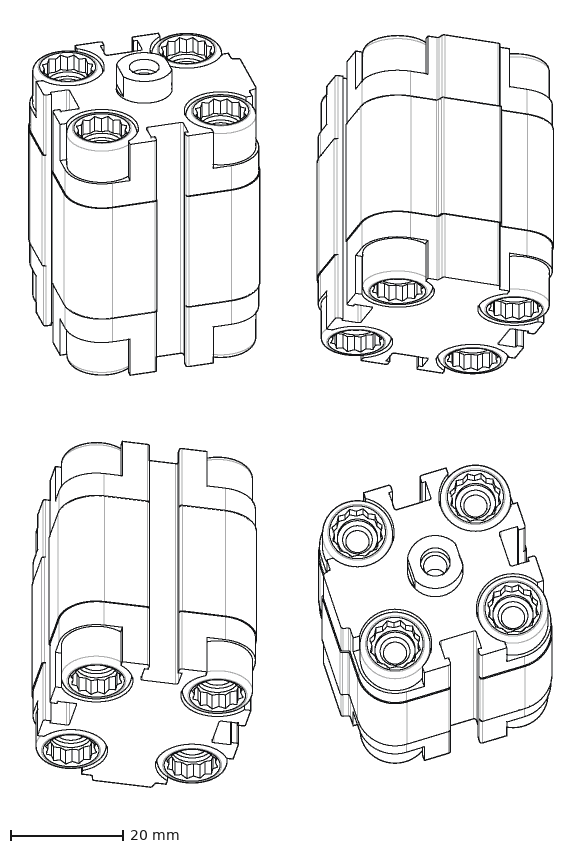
import cadquery as cq
import math

ROD_TOP = 52.5
HOUSING_HEIGHT = 48.0
END_HEIGHT = 12.5
TUBE_HEIGHT = HOUSING_HEIGHT - 2 * END_HEIGHT

HALF_WIDTH = 18.0
CORNER_RADIUS = 7.0
END_INSET = 0.2

RAIL_HEIGHT = 1.45
RAIL_HALF_TOP = 5.55
RAIL_HALF_FOOT = 6.0
RAIL_TOP_FILLET = 0.4
RAIL_FOOT_FILLET = 0.3

SLOT_ANGLES = (-90, 0, 90)
SLOT_MOUTH_HALF = 2.75
SLOT_HALF = 3.4
SLOT_LIP_FACE = 16.45
SLOT_FLOOR = 12.95
SLOT_MOUTH_FILLET = 0.4
SLOT_FLOOR_FILLET = 0.4

SCREW_OFFSET = HALF_WIDTH - CORNER_RADIUS
QUADRANTS = [(-1, -1), (-1, 1), (1, -1), (1, 1)]
HEAD_DIAMETER = 12.5
HEAD_HEIGHT = 7.5
HEAD_FILLET = 1.0
POCKET_DIAMETER = 13.0
POCKET_CORNER = 7.7

SOCKET_FLATS = 8.0
SOCKET_TURNS = (0, 30)
SOCKET_DEPTH = 3.2
SOCKET_MOUTH_DIAMETER = 10.0
RECESS_DIAMETER = 7.2
RECESS_DEPTH = 0.9
MOUTH_CONE_DEPTH = 0.85

BORE_DIAMETER = 4.15
BORE_ENTRY_DIAMETER = 5.3
DRILL_POINT_ANGLE = 118.0
COUNTERSINK_ANGLE = 60.0

ROD_DIAMETER = 10.0
ROD_BOTTOM = HOUSING_HEIGHT - END_HEIGHT
ROD_FLATS = 9.0
ROD_COLLAR_HEIGHT = 0.4
ROD_FLATS_BOTTOM = HOUSING_HEIGHT + ROD_COLLAR_HEIGHT
ROD_COUNTERBORE_DEPTH = 2.1
ROD_BORE_DEPTH = 10.0


def fillet_upright_edge(body, x, y, height, radius):
    """Round the vertical edge of a prism that stands at (x, y)."""
    return body.edges(cq.NearestToPointSelector((x, y, height / 2))).fillet(radius)


def turned(x, y, angle):
    """Point (x, y) turned about the origin by angle degrees."""
    turn = math.radians(angle)
    return (
        x * math.cos(turn) - y * math.sin(turn),
        x * math.sin(turn) + y * math.cos(turn),
    )


def rail(inset, height):
    """Tapered rail prism that stands on the +Y face and reaches in to the axis."""
    face = HALF_WIDTH - inset
    foot = RAIL_HALF_FOOT - inset
    top = RAIL_HALF_TOP - inset
    outline = [
        (-foot, 0),
        (-foot, face),
        (-top, face + RAIL_HEIGHT),
        (top, face + RAIL_HEIGHT),
        (foot, face),
        (foot, 0),
    ]
    prism = cq.Workplane("XY").polyline(outline).close().extrude(height)
    return prism.faces(">Y").edges("|Z").fillet(RAIL_TOP_FILLET)


def t_slot(face, height):
    """Cutter for a T-slot that opens through the -Y face at distance face from the axis."""
    floor = (
        cq.Workplane("XY")
        .rect(2 * SLOT_HALF, SLOT_LIP_FACE - SLOT_FLOOR)
        .extrude(height)
        .translate((0, -(SLOT_LIP_FACE + SLOT_FLOOR) / 2, 0))
        .faces(">Y")
        .edges("|Z")
        .fillet(SLOT_FLOOR_FILLET)
    )
    mouth = (
        cq.Workplane("XY")
        .rect(2 * SLOT_MOUTH_HALF, face - SLOT_FLOOR)
        .extrude(height)
        .translate((0, -(face + SLOT_FLOOR) / 2, 0))
    )
    return floor.union(mouth)


def profile(inset, height):
    """Prism of the rounded square with its rail and T-slots, all outer faces set in by inset."""
    face = HALF_WIDTH - inset
    square = cq.Workplane("XY").rect(2 * face, 2 * face).extrude(height)
    body = square.edges("|Z").fillet(CORNER_RADIUS - inset).union(rail(inset, height))
    for side in (-1, 1):
        foot = side * (RAIL_HALF_FOOT - inset)
        body = fillet_upright_edge(body, foot, face, height, RAIL_FOOT_FILLET)
    for angle in SLOT_ANGLES:
        body = body.cut(t_slot(face, height).rotate((0, 0, 0), (0, 0, 1), angle))
        for side in (-1, 1):
            x, y = turned(side * SLOT_MOUTH_HALF, -face, angle)
            body = fillet_upright_edge(body, x, y, height, SLOT_MOUTH_FILLET)
    return body


def cone_depth(start_diameter, end_diameter, angle):
    """Depth over which a cone of the given included angle narrows between two diameters."""
    return (start_diameter - end_diameter) / 2 / math.tan(math.radians(angle / 2))


def tapered_hole(start_diameter, end_diameter, depth):
    """Conical cutter that narrows downward from Z = 0."""
    down = cq.Vector(0, 0, -1)
    cone = cq.Solid.makeCone(start_diameter / 2, end_diameter / 2, depth, cq.Vector(), down)
    return cq.Workplane(cone)


def round_hole(diameter, depth):
    """Cylindrical cutter that goes down from Z = 0."""
    return cq.Workplane("XY").circle(diameter / 2).extrude(-depth)


def head_pocket(side_x, side_y):
    """Cutter below Z = 0 for a round head pocket whose outer corner is open."""
    seat = round_hole(POCKET_DIAMETER, HEAD_HEIGHT)
    seat = seat.translate((side_x * SCREW_OFFSET, side_y * SCREW_OFFSET, 0))
    opening_size = HALF_WIDTH - POCKET_CORNER
    opening_center = (HALF_WIDTH + POCKET_CORNER) / 2
    opening = cq.Workplane("XY").rect(opening_size, opening_size).extrude(-HEAD_HEIGHT)
    return seat.union(opening.translate((side_x * opening_center, side_y * opening_center, 0)))


def screw_head():
    """Screw head with its outer face at Z = 0 and a twelve-point socket above its bore."""
    head = cq.Workplane("XY").circle(HEAD_DIAMETER / 2).extrude(-HEAD_HEIGHT)
    head = head.faces(">Z").edges().fillet(HEAD_FILLET)
    head = head.cut(tapered_hole(SOCKET_MOUTH_DIAMETER, RECESS_DIAMETER, MOUTH_CONE_DEPTH))
    for turn in SOCKET_TURNS:
        hexagon = cq.Workplane("XY").polygon(6, SOCKET_FLATS, circumscribed=True)
        head = head.cut(hexagon.extrude(-SOCKET_DEPTH).rotate((0, 0, 0), (0, 0, 1), turn))
    recess_floor = SOCKET_DEPTH + RECESS_DEPTH
    head = head.cut(round_hole(RECESS_DIAMETER, recess_floor))
    entry_depth = cone_depth(BORE_ENTRY_DIAMETER, BORE_DIAMETER, COUNTERSINK_ANGLE)
    entry = tapered_hole(BORE_ENTRY_DIAMETER, BORE_DIAMETER, entry_depth)
    return head.cut(entry.translate((0, 0, -recess_floor)))


def housing_end():
    """End of the housing with its four screw heads, its outer face at Z = 0."""
    end = profile(END_INSET, END_HEIGHT).translate((0, 0, -END_HEIGHT))
    head = screw_head()
    for side_x, side_y in QUADRANTS:
        end = end.cut(head_pocket(side_x, side_y))
        end = end.union(head.translate((side_x * SCREW_OFFSET, side_y * SCREW_OFFSET, 0)))
    return end


def make_housing():
    """Tube between two mirrored ends, with four through bores and the rod's hole in the top."""
    end = housing_end()
    tube = profile(0, TUBE_HEIGHT).translate((0, 0, END_HEIGHT))
    housing = tube.union(end.translate((0, 0, HOUSING_HEIGHT))).union(end.mirror("XY")).clean()
    bore = round_hole(BORE_DIAMETER, HOUSING_HEIGHT).translate((0, 0, HOUSING_HEIGHT))
    for side_x, side_y in QUADRANTS:
        housing = housing.cut(bore.translate((side_x * SCREW_OFFSET, side_y * SCREW_OFFSET, 0)))
    rod_hole = round_hole(ROD_DIAMETER, HOUSING_HEIGHT - ROD_BOTTOM)
    return housing.cut(rod_hole.translate((0, 0, HOUSING_HEIGHT)))


def rod_end_hole():
    """Cutter for the stepped blind bore in the rod's end, its mouth at Z = 0."""
    entry_depth = cone_depth(BORE_ENTRY_DIAMETER, BORE_DIAMETER, DRILL_POINT_ANGLE)
    entry = tapered_hole(BORE_ENTRY_DIAMETER, BORE_DIAMETER, entry_depth)
    point_depth = cone_depth(BORE_DIAMETER, 0, DRILL_POINT_ANGLE)
    point = tapered_hole(BORE_DIAMETER, 0, point_depth)
    return (
        round_hole(BORE_DIAMETER, ROD_BORE_DEPTH)
        .union(round_hole(BORE_ENTRY_DIAMETER, ROD_COUNTERBORE_DEPTH))
        .union(entry.translate((0, 0, -ROD_COUNTERBORE_DEPTH)))
        .union(point.translate((0, 0, -ROD_BORE_DEPTH)))
    )


def make_rod():
    """Piston rod with two wrench flats and a blind bore at its free end."""
    rod = round_hole(ROD_DIAMETER, ROD_TOP - ROD_BOTTOM).translate((0, 0, ROD_TOP))
    for side in (-1, 1):
        flat = cq.Workplane("XY").rect(ROD_DIAMETER, ROD_FLATS).extrude(ROD_TOP - ROD_FLATS_BOTTOM)
        rod = rod.cut(flat.translate((0, side * ROD_FLATS, ROD_FLATS_BOTTOM)))
    return rod.cut(rod_end_hole().translate((0, 0, ROD_TOP)))


housing = make_housing()
rod = make_rod()

result = cq.Compound.makeCompound([housing.val(), rod.val()])